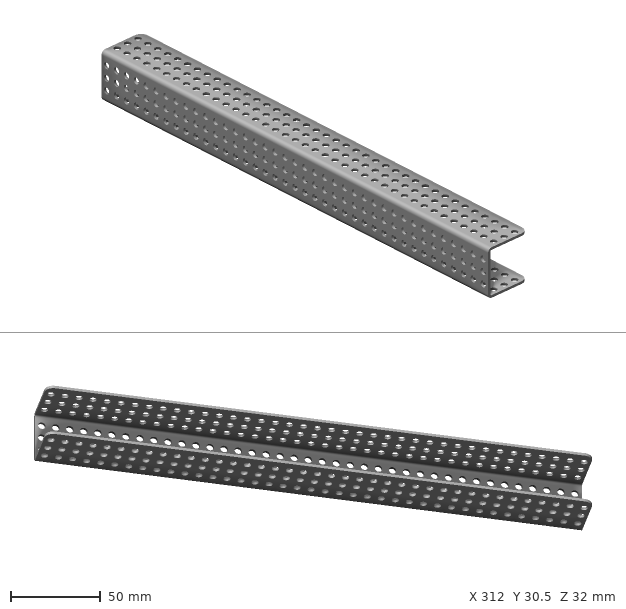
import cadquery as cq

length = 312.0
depth = 30.5
height = 32.0
thickness = 1.65
bend_outer_radius = 2.65
bend_inner_radius = bend_outer_radius - thickness
flange_corner_radius = 5.0

hole_columns = 39
hole_rows = 3
hole_pitch = length / hole_columns
hole_radius = 2.1
flange_row_center = height / 2


def channel_body():
    """Bent sheet channel with rounded free corners on both flanges."""
    outer = cq.Workplane("XY").box(length, depth, height, centered=(True, False, True))
    outer = outer.edges("|X and <Y").fillet(bend_outer_radius)
    outer = outer.edges("|Z and >Y").fillet(flange_corner_radius)
    inner = (
        cq.Workplane("XY")
        .box(length, depth, height - 2 * thickness, centered=(True, False, True))
        .edges("|X and <Y")
        .fillet(bend_inner_radius)
        .translate((0, thickness, 0))
    )
    return outer.cut(inner)


def hole_grid(plane, drill_length):
    """Round cutters on the hole grid, drilled both ways from the plane."""
    return (
        plane.rarray(hole_pitch, hole_pitch, hole_columns, hole_rows)
        .circle(hole_radius)
        .extrude(drill_length, both=True)
    )


web_holes = hole_grid(cq.Workplane("XZ"), 2 * thickness)
flange_holes = hole_grid(cq.Workplane("XY", origin=(0, flange_row_center, 0)), height)

result = channel_body().cut(web_holes).cut(flange_holes)